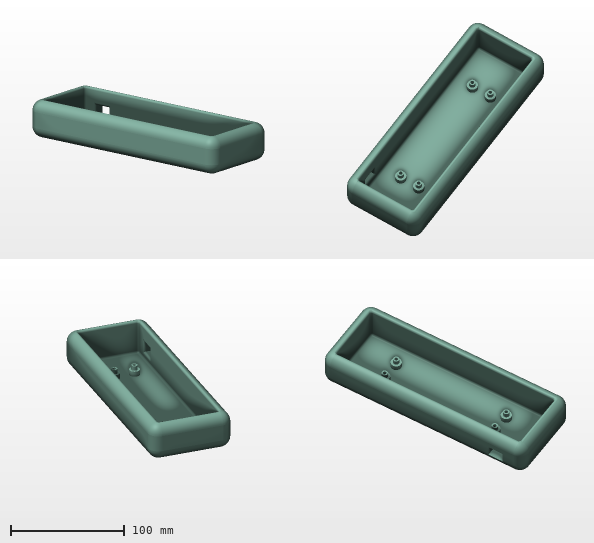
import cadquery as cq

length = 210.5
width = 77.3
height = 34.3
outer_round = 9.9

wall = outer_round
floor = 3.0
inner_round = 2.0
cavity_length = length - 2 * wall
cavity_width = width - 2 * wall

port_width = 15.0
port_height = 10.0
port_right = -68.8
port_bottom = 8.8

standoff_spacing_x = 114.3
standoff_spacing_y = 19.0
base_diameter = 9.9
base_height = 4.8
pin_diameter = 5.7
pin_height = 4.2
screw_hole_diameter = 3.2

clearance = 2.0


def make_block(size_x, size_y, size_z, bottom):
    """Box centred on the Z axis with its underside at the given height."""
    return cq.Workplane("XY").workplane(offset=bottom).box(
        size_x, size_y, size_z, centered=(True, True, False)
    )


def make_cylinders(diameter, depth, bottom):
    """Upright cylinders at the four standoff positions."""
    return (
        cq.Workplane("XY")
        .workplane(offset=bottom)
        .rarray(standoff_spacing_x, standoff_spacing_y, 2, 2)
        .circle(diameter / 2)
        .extrude(depth)
    )


def make_port():
    """Port block, spanning from inside the cavity to beyond the outer face."""
    inner_face = cavity_width / 2
    return cq.Workplane("XY").box(
        port_width, wall + 2 * clearance, port_height, centered=False
    ).translate((port_right - port_width, inner_face - clearance, port_bottom))


def make_tray():
    """Rounded body with the cavity and port, all cavity-side edges rounded."""
    body = make_block(length, width, height, 0).edges().fillet(outer_round)
    body = body.cut(make_block(cavity_length, cavity_width, height, floor))
    body = body.cut(make_port())

    margin = inner_round / 10
    half_x = cavity_length / 2 + margin
    half_y = cavity_width / 2 + margin
    cavity_edges = cq.selectors.BoxSelector(
        (-half_x, -half_y, floor - margin), (half_x, half_y, height + margin), boundingbox=True
    )
    return body.edges(cavity_edges).fillet(inner_round)


base_top = floor + base_height
pin_top = base_top + pin_height

result = (
    make_tray()
    .union(make_cylinders(base_diameter, base_height + floor / 2, floor / 2))
    .union(make_cylinders(pin_diameter, pin_height, base_top))
    .cut(make_cylinders(screw_hole_diameter, pin_top + 2 * clearance, -clearance))
)